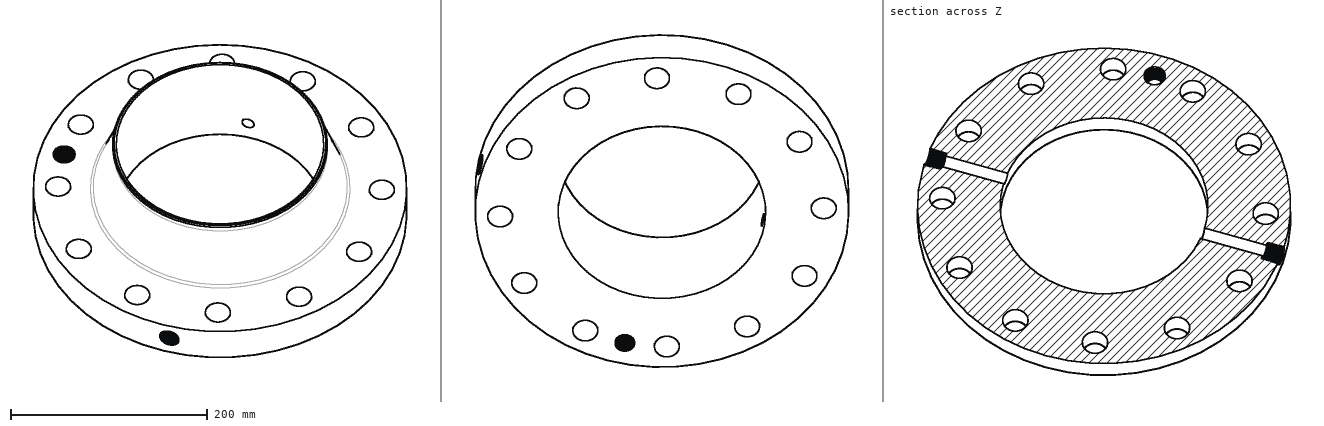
import cadquery as cq
import math

flange_dia = 381.0
flange_thickness = 41.3
total_height = 111.25

hub_base_dia = 260.4
pipe_dia = 219.1
bore_dia = 211.56
weld_end_length = 6.35
bevel_width = 1.5
bevel_height = 1.2
hub_fillet = 3.0

bolt_circle_dia = 330.2
bolt_hole_dia = 25.4
bolt_count = 12

inch = 25.4
jack_major_dia = 22.225
jack_minor_dia = 19.2
jack_pitch = inch / 9

tap_height = 22.4
tap_bore_dia = 12.7
tap_major_dia = 21.3
tap_minor_dia = 18.0
tap_pitch = inch / 14
tap_thread_turns = 10
tap_taper = 1 / 16


def make_body():
    """Flange disc, conical hub and bevelled weld end, revolved about Z."""
    bore_radius = bore_dia / 2
    pipe_radius = pipe_dia / 2
    flange_radius = flange_dia / 2
    body = (
        cq.Workplane("XZ")
        .moveTo(bore_radius, 0)
        .lineTo(flange_radius, 0)
        .lineTo(flange_radius, flange_thickness)
        .lineTo(hub_base_dia / 2, flange_thickness)
        .lineTo(pipe_radius, total_height - weld_end_length)
        .lineTo(pipe_radius, total_height - bevel_height)
        .lineTo(pipe_radius - bevel_width, total_height)
        .lineTo(bore_radius, total_height)
        .close()
        .revolve(360, (0, 0, 0), (0, 1, 0))
    )
    margin = 1.0
    reach = hub_base_dia / 2 + margin
    hub_foot = cq.selectors.BoxSelector(
        (-reach, -reach, flange_thickness - margin),
        (reach, reach, flange_thickness + margin),
        boundingbox=True,
    )
    return body.edges(hub_foot).fillet(hub_fillet)


def make_bolt_holes():
    half_step = 180 / bolt_count
    return (
        cq.Workplane("XY")
        .polarArray(bolt_circle_dia / 2, half_step, 360, bolt_count)
        .circle(bolt_hole_dia / 2)
        .extrude(flange_thickness)
    )


def make_thread_cutter(major_dia, minor_dia, pitch, turns, taper):
    """Ringed V-thread cutter running up +Z from its mouth at the origin.

    The mouth is at the major diameter; the taper narrows it with depth.
    """
    profile = cq.Workplane("XZ").lineTo(major_dia / 2, 0)
    for turn in range(turns):
        crest_depth = (turn + 0.5) * pitch
        root_depth = (turn + 1) * pitch
        profile = profile.lineTo((minor_dia - taper * crest_depth) / 2, crest_depth)
        profile = profile.lineTo((major_dia - taper * root_depth) / 2, root_depth)
    return profile.lineTo(0, turns * pitch).close().revolve(360, (0, 0, 0), (0, 1, 0))


def make_jack_hole():
    turns = math.ceil(flange_thickness / jack_pitch)
    cutter = make_thread_cutter(jack_major_dia, jack_minor_dia, jack_pitch, turns, 0)
    return cutter.rotate((0, 0, 0), (1, 0, 0), 180).translate(
        (-bolt_circle_dia / 2, 0, flange_thickness)
    )


def make_pressure_tap():
    """Threaded mouth on the -Y rim with a plain hole on into the bore."""
    rim_y = -flange_dia / 2
    thread = make_thread_cutter(
        tap_major_dia, tap_minor_dia, tap_pitch, tap_thread_turns, tap_taper
    )
    plain_hole = cq.Workplane("XY").circle(tap_bore_dia / 2).extrude(flange_dia / 2)
    return (
        thread.union(plain_hole)
        .rotate((0, 0, 0), (1, 0, 0), -90)
        .translate((0, rim_y, tap_height))
    )


front_tap = make_pressure_tap()
result = make_body().cut(make_bolt_holes()).cut(make_jack_hole())
result = result.cut(front_tap).cut(front_tap.mirror("XZ"))